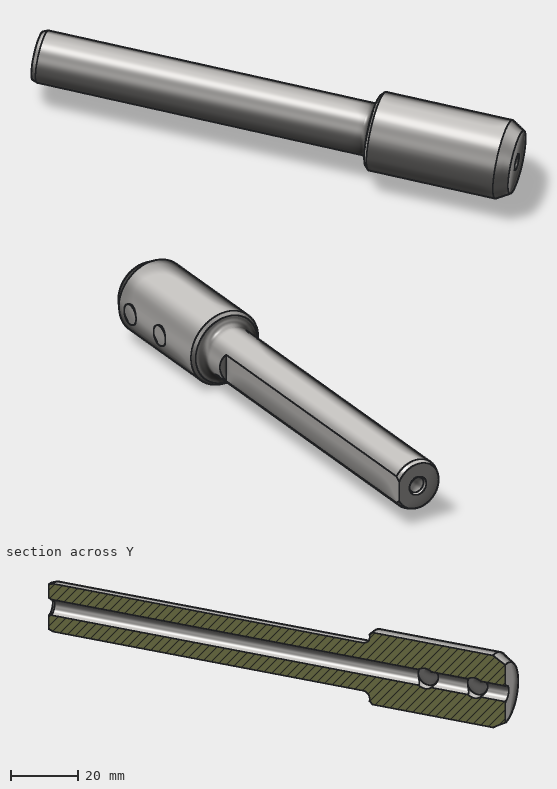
import cadquery as cq

TOTAL_LENGTH = 148.0
HEAD_RADIUS = 12.0
SHANK_RADIUS = 8.0

SHANK_CHAMFER_LENGTH = 1.5
SHANK_CHAMFER_DEPTH = 0.6
SHOULDER_X = 103.9
NECK_FILLET_RADIUS = 2.0
SHOULDER_CHAMFER = 1.0
NOSE_LENGTH = 4.0
NOSE_DEPTH = 2.4

FLAT_OFFSET = 6.7
FLAT_LENGTH = 94.0

BORE_RADIUS = 2.5
COUNTERSINK_LENGTH = 0.9
COUNTERSINK_WIDENING = 0.5

SCREW_RADIUS = 3.3
SCREW_POSITIONS = (122.0, 138.0)
SCREW_TOP = HEAD_RADIUS


def make_turned_body():
    """Revolve the half profile of the shank, neck fillet and head about X."""
    neck_x = SHOULDER_X - NECK_FILLET_RADIUS
    neck_outer_radius = SHANK_RADIUS + NECK_FILLET_RADIUS
    return (
        cq.Workplane("XY")
        .moveTo(0, 0)
        .lineTo(0, SHANK_RADIUS - SHANK_CHAMFER_DEPTH)
        .lineTo(SHANK_CHAMFER_LENGTH, SHANK_RADIUS)
        .lineTo(neck_x, SHANK_RADIUS)
        .radiusArc((SHOULDER_X, neck_outer_radius), -NECK_FILLET_RADIUS)
        .lineTo(SHOULDER_X, HEAD_RADIUS - SHOULDER_CHAMFER)
        .lineTo(SHOULDER_X + SHOULDER_CHAMFER, HEAD_RADIUS)
        .lineTo(TOTAL_LENGTH - NOSE_LENGTH, HEAD_RADIUS)
        .lineTo(TOTAL_LENGTH, HEAD_RADIUS - NOSE_DEPTH)
        .lineTo(TOTAL_LENGTH, 0)
        .close()
        .revolve(360, (0, 0, 0), (1, 0, 0))
    )


def make_flat_cutter():
    """Prism that leaves the clamping flat and its sloping end."""
    rise = HEAD_RADIUS - FLAT_OFFSET
    return (
        cq.Workplane("XY")
        .polyline([
            (0, FLAT_OFFSET),
            (FLAT_LENGTH, FLAT_OFFSET),
            (FLAT_LENGTH + rise, HEAD_RADIUS),
            (0, HEAD_RADIUS),
        ])
        .close()
        .extrude(SHANK_RADIUS, both=True)
    )


def make_bore_cutter():
    """Through bore with its steep countersink, revolved about X."""
    return (
        cq.Workplane("XY")
        .polyline([
            (0, 0),
            (0, BORE_RADIUS + COUNTERSINK_WIDENING),
            (COUNTERSINK_LENGTH, BORE_RADIUS),
            (TOTAL_LENGTH, BORE_RADIUS),
            (TOTAL_LENGTH, 0),
        ])
        .close()
        .revolve(360, (0, 0, 0), (1, 0, 0))
    )


def make_radial_cylinder(x, y_start, y_end):
    """Cylinder of the screw size pointing along +Y at position x."""
    return cq.Workplane("XY").add(
        cq.Solid.makeCylinder(
            SCREW_RADIUS, y_end - y_start, cq.Vector(x, y_start, 0), cq.Vector(0, 1, 0)
        )
    )


def make_holder():
    """Holder with flat, bore and radial screw holes that open into the bore."""
    holder = make_turned_body().cut(make_flat_cutter()).cut(make_bore_cutter())
    for x in SCREW_POSITIONS:
        holder = holder.cut(make_radial_cylinder(x, 0, HEAD_RADIUS))
    return holder


def make_set_screw(x):
    """Plain set screw, flush with the crown of the head and stopping level with the bore wall."""
    return make_radial_cylinder(x, BORE_RADIUS, SCREW_TOP)


holder = make_holder()
set_screws = [make_set_screw(x).val() for x in SCREW_POSITIONS]

result = cq.Compound.makeCompound([holder.val(), *set_screws])